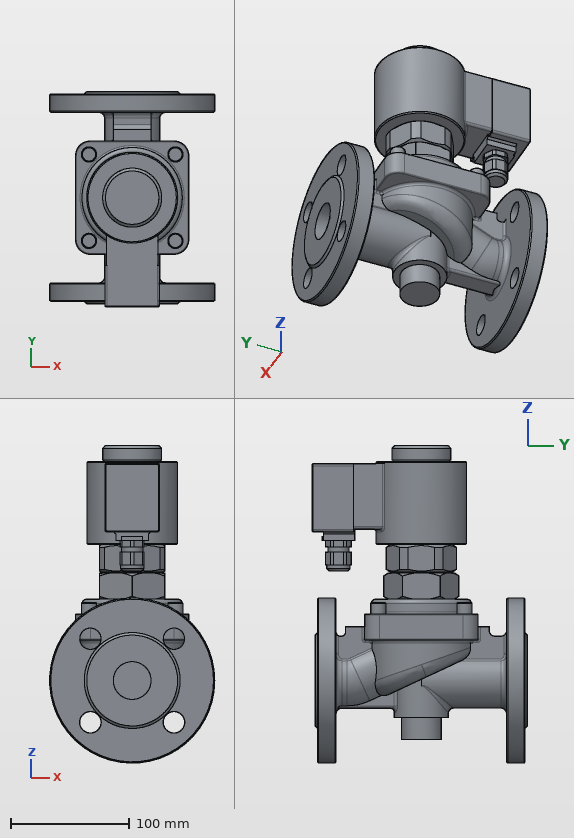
import cadquery as cq
import math

EMBED = 2.7

FLANGE_DIA = 140.0
FLANGE_INNER = 72.0
FLANGE_OUTER = 88.0
FACE_END = 90.0
FACE_BASE_DIA = 81.3
FACE_DIA = 77.0
FLANGE_EDGE = 1.0
PIPE_DIA = 46.8
PIPE_RADIUS = PIPE_DIA / 2
HUB_FILLET = 4.8
HUB_START = FLANGE_INNER - HUB_FILLET
BORE_DIA = 32.0
BORE_DEPTH = 10.8
BOLT_CIRCLE = 100.0
BOLT_HOLE_DIA = 18.0

BOWL_DIA = 89.3
BOWL_FILLET = 11.3
OUTLET_ANGLE = 25.0
OUTLET_BEND_Y = -57.5
OUTLET_BEND_RADIUS = 24.2
BOSS_DIA = 46.0
BOSS_BOTTOM = -31.5
BOSS_TOP = 1.0
BOSS_FILLET = 4.3
STUB_DIA = 34.0
STUB_BOTTOM = -50.0
RIB_WIDTH = 31.5
RIB_TOP = 45.7
RIB_LOW = 37.7
RIB_BOTTOM = 8.0
INLET_RIB_END = 57.5
OUTLET_RIB_END = 64.3
INLET_RIB_FILLET = 4.5
OUTLET_RIB_FILLET = 3.2
WEB_WIDTH = 18.8
WEB_BOTTOM = -23.7
WEB_FILLET = 2.2
WEB_BLEND = 3.2
RIB_BLEND = 2.2

PLATE_WIDTH = 96.0
PLATE_BOTTOM = 34.2
PLATE_TOP = 56.2
PLATE_CORNER = 12.6
PLATE_EDGE = 0.8
DISC_DIA = 85.0
DISC_TOP = 69.0
DISC_FILLET = 3.8
DISC_FOOT = 1.5
BOWL_HEAD = 2.5
SCREW_DIA = 13.0
SCREW_OFFSET = 36.5
SCREW_TOP = 66.2
SCREW_EDGE = 0.8

NUT_FLATS = 55.5
LOWER_NUT_TOP = 91.0
LOWER_NUT_ROUND = 63.8
UPPER_NUT_BOTTOM = 91.8
UPPER_NUT_ROUND = 59.7
NUT_BEVEL_HEIGHT = 2.5
NUT_BEVEL_WIDTH = 3.5
NUT_NECK_DIA = 51.0
COIL_DIA = 77.0
COIL_BOTTOM = 115.2
COIL_TOP = 185.7
COIL_EDGE = 1.0
CAP_DIA = 50.0
CAP_BOTTOM = 186.8
CAP_TOP = 199.0
CAP_EDGE = 2.5
CAP_NECK_DIA = 48.5

ARM_WIDTH = 43.5
ARM_END = -57.3
ARM_BOTTOM = 128.0
ARM_FILLET = 2.2
ARM_BLEND = 2.2
BOX_WIDTH = 46.3
BOX_END = -92.5
BOX_BOTTOM = 126.0
BOX_TOP = 183.8
BOX_FILLET = 2.0
BOX_FACE_EDGE = 0.8
PAD_WIDTH = 27.7
PAD_START = -56.2
PAD_END = -83.0
PAD_BOTTOM = 118.5
PAD_COLLAR = 2.0
TAB_WIDTH = 17.8
TAB_PROUD = 1.0
TAB_TOP = 122.2
GLAND_Y = -70.2
GLAND_FLATS = 20.5
GLAND_ROUND = 22.0
GLAND_NECK_DIA = 18.0
GLAND_NECK_TOP = 113.3
GLAND_NUT_TOP = 108.7
GLAND_NUT_BOTTOM = 98.0
GLAND_END_DIA = 20.0
GLAND_BOTTOM = 92.5
GLAND_EDGE = 2.2


def cylinder_z(diameter, bottom, top, y=0):
    """Vertical cylinder centred on X at the given Y."""
    return cq.Workplane("XY", origin=(0, y, bottom)).circle(diameter / 2).extrude(top - bottom)


def block(width, y_start, y_end, bottom, top):
    """Box centred on X between two Y positions and two heights."""
    return (
        cq.Workplane("XY", origin=(0, (y_start + y_end) / 2, bottom))
        .rect(width, abs(y_end - y_start))
        .extrude(top - bottom)
    )


def blend(body, points, radius):
    """Fillet the edge of the body that lies closest to each point."""
    corners = [cq.Vertex.makeVertex(*point) for point in points]
    edges = body.edges().vals()
    seams = [min(edges, key=lambda edge: edge.distance(corner)) for corner in corners]
    return body.newObject(seams).fillet(radius)


def hexagon(flats, bottom, top, y=0):
    """Hexagonal prism with one pair of flats facing +X and -X."""
    corners = flats / math.cos(math.pi / 6)
    return (
        cq.Workplane("XY", origin=(0, y, bottom))
        .transformed(rotate=(0, 0, 30))
        .polygon(6, corners)
        .extrude(top - bottom)
    )


def flange():
    """Flange at the +Y end with a raised face, a filleted hub and four bolt holes."""
    outer = FLANGE_DIA / 2
    hub_mid = HUB_FILLET * (1 - math.sqrt(0.5))
    body = (
        cq.Workplane("XY")
        .moveTo(0, HUB_START)
        .lineTo(PIPE_RADIUS, HUB_START)
        .threePointArc(
            (PIPE_RADIUS + hub_mid, FLANGE_INNER - hub_mid),
            (PIPE_RADIUS + HUB_FILLET, FLANGE_INNER),
        )
        .lineTo(outer - FLANGE_EDGE, FLANGE_INNER)
        .lineTo(outer, FLANGE_INNER + FLANGE_EDGE)
        .lineTo(outer, FLANGE_OUTER - FLANGE_EDGE)
        .lineTo(outer - FLANGE_EDGE, FLANGE_OUTER)
        .lineTo(FACE_BASE_DIA / 2, FLANGE_OUTER)
        .lineTo(FACE_DIA / 2, FACE_END)
        .lineTo(0, FACE_END)
        .close()
        .revolve(360, (0, 0, 0), (0, 1, 0))
    )
    bolt_holes = (
        cq.Workplane("XZ", origin=(0, FACE_END, 0))
        .polarArray(BOLT_CIRCLE / 2, 45, 360, 4)
        .circle(BOLT_HOLE_DIA / 2)
        .extrude(FACE_END - FLANGE_INNER + EMBED)
    )
    return body.cut(bolt_holes)


def inlet_and_boss():
    """Level inlet pipe blended into the vertical boss, with the stub below."""
    boss = cylinder_z(BOSS_DIA, BOSS_BOTTOM, BOSS_TOP)
    run = cq.Workplane("XZ", origin=(0, HUB_START, 0)).circle(PIPE_RADIUS).extrude(2 * HUB_START)
    seam = (BOSS_DIA / math.sqrt(8), BOSS_DIA / math.sqrt(8), -PIPE_RADIUS / math.sqrt(2))
    tee = blend(run.union(boss), [seam], BOSS_FILLET)
    inlet_side = block(2 * BOSS_DIA, 0, HUB_START, BOSS_BOTTOM, PIPE_DIA)
    stub = cylinder_z(STUB_DIA, STUB_BOTTOM, BOSS_BOTTOM + EMBED)
    return tee.intersect(inlet_side).union(boss).union(stub)


def bowl_floor(y):
    """Height of the sloped bowl floor, which is tangent to the underside of the outlet duct."""
    slope = math.radians(OUTLET_ANGLE)
    return (y - OUTLET_BEND_Y) * math.tan(slope) - PIPE_RADIUS / math.cos(slope)


def bowl():
    """Round chamber under the cover, closed by a sloped floor with a rounded edge."""
    radius = BOWL_DIA / 2
    blank = cylinder_z(BOWL_DIA, bowl_floor(-radius) - EMBED, PLATE_BOTTOM + EMBED)
    below_floor = (
        cq.Workplane("YZ")
        .polyline(
            [
                (-BOWL_DIA, bowl_floor(-BOWL_DIA)),
                (BOWL_DIA, bowl_floor(BOWL_DIA)),
                (BOWL_DIA, -BOWL_DIA),
                (-BOWL_DIA, -BOWL_DIA),
            ]
        )
        .close()
        .extrude(radius + EMBED, both=True)
    )
    return blank.cut(below_floor).faces("<Z").edges().fillet(BOWL_FILLET)


def outlet():
    """Round duct falling from the bowl, then bending level towards the flange."""
    slope = math.radians(OUTLET_ANGLE)
    tangent = OUTLET_BEND_RADIUS * math.tan(slope / 2)
    duct_length = -OUTLET_BEND_Y / math.cos(slope) - PIPE_RADIUS
    bend_start = (OUTLET_BEND_Y - tangent, 0)
    path = (
        cq.Workplane("YZ")
        .moveTo(-HUB_START, 0)
        .lineTo(*bend_start)
        .tangentArcPoint(
            (OUTLET_BEND_Y + tangent * math.cos(slope), tangent * math.sin(slope)), relative=False
        )
        .lineTo(OUTLET_BEND_Y + duct_length * math.cos(slope), duct_length * math.sin(slope))
    )
    return cq.Workplane("XZ", origin=(0, -HUB_START, 0)).circle(PIPE_RADIUS).sweep(path)


def rib(rib_end, step_fillet, side):
    """Stepped rib from the middle to a flange; side is +1 for +Y and -1 for -Y."""
    step_mid = step_fillet * (1 - math.sqrt(0.5))
    flange_foot = FLANGE_INNER - step_fillet
    buried_end = FLANGE_INNER + EMBED
    profile = (
        cq.Workplane("YZ")
        .moveTo(0, RIB_BOTTOM)
        .lineTo(0, RIB_TOP)
        .lineTo(side * rib_end, RIB_TOP)
        .lineTo(side * rib_end, RIB_LOW + step_fillet)
        .threePointArc(
            (side * (rib_end + step_mid), RIB_LOW + step_mid),
            (side * (rib_end + step_fillet), RIB_LOW),
        )
        .lineTo(side * flange_foot, RIB_LOW)
        .threePointArc(
            (side * (FLANGE_INNER - step_mid), RIB_LOW + step_mid),
            (side * FLANGE_INNER, RIB_LOW + step_fillet),
        )
        .lineTo(side * buried_end, RIB_LOW + step_fillet)
        .lineTo(side * buried_end, RIB_BOTTOM)
        .close()
    )
    return profile.extrude(RIB_WIDTH / 2, both=True)


def web():
    """Web under the sloped duct, between the boss and the outlet flange."""
    buried_end = -FLANGE_INNER - EMBED
    return (
        cq.Workplane("YZ")
        .polyline(
            [
                (0, WEB_BOTTOM),
                (0, bowl_floor(0) + EMBED),
                (OUTLET_BEND_Y, 0),
                (buried_end, 0),
                (buried_end, WEB_BOTTOM),
            ]
        )
        .close()
        .extrude(WEB_WIDTH / 2, both=True)
        .faces("<Z")
        .edges("|Y")
        .fillet(WEB_FILLET)
    )


def webbed_boss():
    """Inlet pipe and boss with the web blended into the side of the boss."""
    half_web = WEB_WIDTH / 2
    root = -math.sqrt((BOSS_DIA / 2) ** 2 - half_web**2)
    seams = [(x, root, WEB_BOTTOM / 2) for x in (half_web, -half_web)]
    return blend(inlet_and_boss().union(web()), seams, WEB_BLEND)


def cove(diameter, size, plate_face, up):
    """Concave fillet ring where a cylinder meets a plate face; up is +1 above it, -1 below it."""
    radius = diameter / 2
    middle = size * (1 - math.sqrt(0.5))
    return (
        cq.Workplane("XZ")
        .moveTo(0, plate_face - up * EMBED)
        .lineTo(radius + size, plate_face - up * EMBED)
        .lineTo(radius + size, plate_face)
        .threePointArc((radius + middle, plate_face + up * middle), (radius, plate_face + up * size))
        .lineTo(0, plate_face + up * size)
        .close()
        .revolve(360, (0, 0, 0), (0, 1, 0))
    )


def cover():
    """Square plate with four screws and a round disc."""
    plate = (
        block(PLATE_WIDTH, -PLATE_WIDTH / 2, PLATE_WIDTH / 2, PLATE_BOTTOM, PLATE_TOP)
        .edges("|Z")
        .fillet(PLATE_CORNER)
        .faces("<Z or >Z")
        .edges()
        .fillet(PLATE_EDGE)
    )
    disc = cylinder_z(DISC_DIA, PLATE_TOP - EMBED, DISC_TOP).faces(">Z").edges().fillet(DISC_FILLET)
    disc_foot = cove(DISC_DIA, DISC_FOOT, PLATE_TOP, 1)
    bowl_head = cove(BOWL_DIA, BOWL_HEAD, PLATE_BOTTOM, -1)
    screws = (
        cq.Workplane("XY", origin=(0, 0, PLATE_TOP - EMBED))
        .rect(2 * SCREW_OFFSET, 2 * SCREW_OFFSET, forConstruction=True)
        .vertices()
        .circle(SCREW_DIA / 2)
        .extrude(SCREW_TOP - PLATE_TOP + EMBED)
        .faces(">Z")
        .edges()
        .chamfer(SCREW_EDGE)
    )
    return plate.union(disc_foot).union(bowl_head).union(disc).union(screws)


def nut(bottom, top, round_dia):
    """Hexagon nut trimmed by a round, with the corners bevelled at both ends."""
    trim = (
        cylinder_z(round_dia, bottom, top)
        .faces("<Z or >Z")
        .edges()
        .chamfer(NUT_BEVEL_HEIGHT, NUT_BEVEL_WIDTH)
    )
    return hexagon(NUT_FLATS, bottom, top).intersect(trim)


def coil():
    """Nuts, coil housing and cap stacked on the cover."""
    lower_nut = nut(DISC_TOP, LOWER_NUT_TOP, LOWER_NUT_ROUND)
    upper_nut = nut(UPPER_NUT_BOTTOM, COIL_BOTTOM, UPPER_NUT_ROUND)
    core = cylinder_z(NUT_NECK_DIA, DISC_TOP - EMBED, COIL_BOTTOM + EMBED)
    housing = cylinder_z(COIL_DIA, COIL_BOTTOM, COIL_TOP).faces("<Z or >Z").edges().chamfer(COIL_EDGE)
    cap_neck = cylinder_z(CAP_NECK_DIA, COIL_TOP - EMBED, CAP_BOTTOM)
    cap = cylinder_z(CAP_DIA, CAP_BOTTOM, CAP_TOP).faces(">Z").edges().chamfer(CAP_EDGE)
    return lower_nut.union(upper_nut).union(core).union(housing).union(cap_neck).union(cap)


def terminal_box():
    """Arm leaving the coil and the larger connector box at its end."""
    arm = block(ARM_WIDTH, 0, ARM_END, ARM_BOTTOM, BOX_TOP).edges("|Y and <Z").fillet(ARM_FILLET)
    box = (
        block(BOX_WIDTH, ARM_END, BOX_END, BOX_BOTTOM, BOX_TOP)
        .edges("|Y")
        .fillet(BOX_FILLET)
        .faces("<Y")
        .edges()
        .chamfer(BOX_FACE_EDGE)
    )
    return arm.union(box)


def gland():
    """Cable gland under the connector box."""
    half = PAD_WIDTH / 2
    collar_half = half + PAD_COLLAR
    collar_bottom = BOX_BOTTOM - PAD_COLLAR
    pad = (
        cq.Workplane("XZ", origin=(0, PAD_START, 0))
        .polyline(
            [
                (-half, PAD_BOTTOM),
                (-half, collar_bottom),
                (-collar_half, BOX_BOTTOM),
                (-collar_half, BOX_BOTTOM + EMBED),
                (collar_half, BOX_BOTTOM + EMBED),
                (collar_half, BOX_BOTTOM),
                (half, collar_bottom),
                (half, PAD_BOTTOM),
            ]
        )
        .close()
        .extrude(PAD_START - PAD_END)
    )
    tab = block(TAB_WIDTH, PAD_START, PAD_END - TAB_PROUD, PAD_BOTTOM, TAB_TOP)
    neck = cylinder_z(GLAND_NECK_DIA, GLAND_BOTTOM + EMBED, PAD_BOTTOM + EMBED, GLAND_Y)
    parts = pad.union(tab).union(neck)
    for bottom, top in [(GLAND_NECK_TOP, PAD_BOTTOM), (GLAND_NUT_BOTTOM, GLAND_NUT_TOP)]:
        trim = cylinder_z(GLAND_ROUND, bottom, top, GLAND_Y)
        parts = parts.union(hexagon(GLAND_FLATS, bottom, top, GLAND_Y).intersect(trim))
    end = (
        cylinder_z(GLAND_END_DIA, GLAND_BOTTOM, GLAND_NUT_BOTTOM, GLAND_Y)
        .faces("<Z")
        .edges()
        .chamfer(GLAND_EDGE)
    )
    return parts.union(end)


def bore(side):
    """Blind port bore in a flange face."""
    plane = cq.Workplane("XZ", origin=(0, side * FACE_END, 0))
    return plane.circle(BORE_DIA / 2).extrude(side * BORE_DEPTH)


def body():
    """Cover, ribs, pipes and flanges with blended rib seams, closed by the bowl."""
    half_rib = RIB_WIDTH / 2
    half_plate = PLATE_WIDTH / 2
    plate_seam_z = (PLATE_BOTTOM + RIB_TOP) / 2
    flange_seam_z = (PIPE_RADIUS + RIB_LOW) / 2
    pipe_seam_z = math.sqrt(PIPE_RADIUS**2 - half_rib**2)
    ribbed = cover().union(rib(INLET_RIB_END, INLET_RIB_FILLET, 1))
    ribbed = ribbed.union(rib(OUTLET_RIB_END, OUTLET_RIB_FILLET, -1))
    ribbed = ribbed.union(webbed_boss()).union(flange())
    ribbed = ribbed.union(outlet()).union(flange().mirror("XZ"))
    for end in (1, -1):
        plate_seams = [(x, end * half_plate, plate_seam_z) for x in (half_rib, -half_rib)]
        flange_seams = [(x, end * FLANGE_INNER, flange_seam_z) for x in (half_rib, -half_rib)]
        pipe_seams = [(x, end * INLET_RIB_END, pipe_seam_z) for x in (half_rib, -half_rib)]
        ribbed = blend(ribbed, plate_seams, RIB_BLEND)
        ribbed = blend(ribbed, flange_seams + pipe_seams, RIB_BLEND)
    return ribbed.union(bowl())


def actuator():
    """Coil stack blended into the terminal box, with the cable gland."""
    half_arm = ARM_WIDTH / 2
    arm_root = -math.sqrt((COIL_DIA / 2) ** 2 - half_arm**2)
    arm_middle = (ARM_BOTTOM + BOX_TOP) / 2
    arm_seams = [(x, arm_root, arm_middle) for x in (half_arm, -half_arm)]
    return blend(coil().union(terminal_box()), arm_seams, ARM_BLEND).union(gland())


result = body().union(actuator())
for side in (1, -1):
    result = result.cut(bore(side))